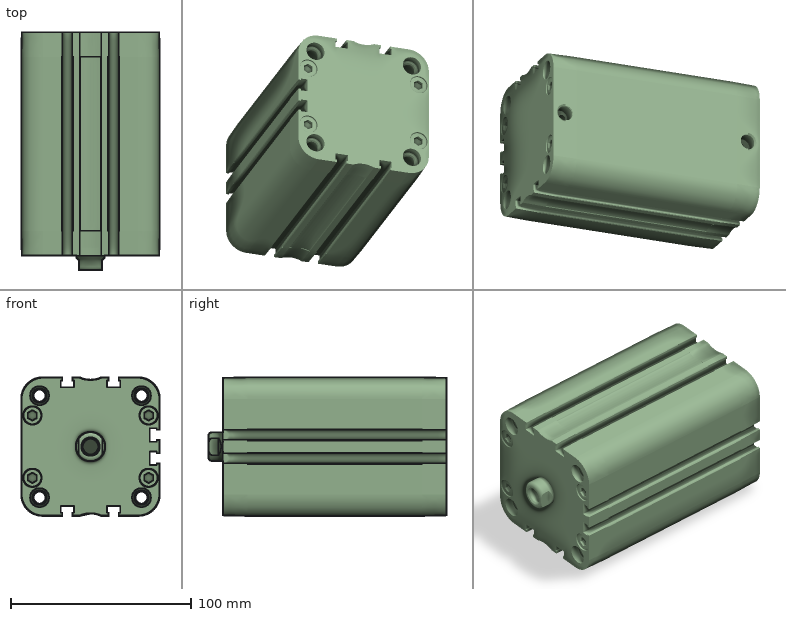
import cadquery as cq
import math


total_length = 132.0
rod_protrusion = 8.0
housing_length = total_length - rod_protrusion
cap_length = 13.7
barrel_length = housing_length - 2 * cap_length
barrel_width = 77.0
barrel_half_width = barrel_width / 2
cap_draft = 0.33
corner_center = 26.4
edge_break = 0.4

groove_half_chord = 6.1
groove_depth = 1.3

slot_mouth_width = 5.5
slot_inner_width = 7.3
slot_lip = 1.8
slot_depth = 5.5
top_slot_offset = 12.8
side_slot_offset = 6.5

mount_offset = 28.2
mount_bore_diameter = 10.5
mount_bore_depth = 5.0
mount_countersink_diameter = 8.0
mount_hole_diameter = 6.6

screw_x = 32.2
screw_z = 17.3
screw_recess_diameter = 10.3
screw_head_diameter = 9.8
screw_head_inset = 0.7
screw_gap_depth = 1.3
hex_across_flats = 5.0
hex_depth = 2.6

port_inset = 7.3
port_mouth_diameter = 10.5
port_diameter = 8.6
port_depth = 8.0
passage_diameter = 4.0
passage_shift = 1.0
passage_depth = 4.0

rod_diameter = 16.0
rod_bore_diameter = 16.5
rod_gap_depth = 1.3
rod_tip_radius = 2.0
rod_across_flats = 13.0
flat_start = 2.5
thread_mouth_diameter = 10.3
thread_diameter = 8.6
thread_depth = 19.8


def xz_plane(y):
    """Sketch plane at Y = y with local axes X and Z; its normal is -Y, so negative extrusions run +Y."""
    return cq.Workplane(cq.Plane(origin=(0, y, 0), xDir=(1, 0, 0), normal=(0, -1, 0)))


def housing_outline(plane, half_width, edge_chamfer):
    """Rounded square with a shallow arc groove in its top and bottom sides."""
    h = half_width
    c = corner_center
    arc_mid = c + (h - c) * math.sqrt(0.5)
    chord = groove_half_chord
    inner_chord = chord - edge_chamfer
    rim = h - edge_chamfer
    dip = h - groove_depth

    def groove_side(sketch, side):
        sketch = sketch.lineTo(-side * chord, side * h)
        if edge_chamfer > 0:
            sketch = sketch.lineTo(-side * inner_chord, side * rim)
        sketch = sketch.threePointArc((0, side * dip), (side * inner_chord, side * rim))
        if edge_chamfer > 0:
            sketch = sketch.lineTo(side * chord, side * h)
        return sketch.lineTo(side * c, side * h)

    sketch = groove_side(plane.moveTo(-c, h), 1)
    sketch = sketch.threePointArc((arc_mid, arc_mid), (h, c)).lineTo(h, -c)
    sketch = sketch.threePointArc((arc_mid, -arc_mid), (c, -h))
    sketch = groove_side(sketch, -1)
    sketch = sketch.threePointArc((-arc_mid, -arc_mid), (-h, -c)).lineTo(-h, c)
    return sketch.threePointArc((-arc_mid, arc_mid), (-c, h)).close()


def y_cylinder(x, z, diameter, length, start=0.0):
    """Cylinder running toward +Y from Y = start."""
    base = cq.Vector(x, start, z)
    return cq.Workplane(cq.Solid.makeCylinder(diameter / 2, length, base, cq.Vector(0, 1, 0)))


def y_countersink(x, z, diameter, end_diameter, start):
    """45 degree cone running toward +Y from Y = start, narrowing to end_diameter."""
    base = cq.Vector(x, start, z)
    length = (diameter - end_diameter) / 2
    cone = cq.Solid.makeCone(diameter / 2, end_diameter / 2, length, base, cq.Vector(0, 1, 0))
    return cq.Workplane(cone)


def on_both_caps(tool):
    """The tool at the rod end together with its mirror image at the rear end."""
    return tool.union(tool.mirror("XZ", (0, housing_length / 2, 0)))


def housing_blank():
    """Barrel with a drafted cap on each end, without slots or holes."""
    barrel = housing_outline(xz_plane(cap_length), barrel_half_width, edge_break).extrude(-barrel_length)
    end_wire = housing_outline(xz_plane(0), barrel_half_width - cap_draft, 0).val()
    seam_wire = housing_outline(xz_plane(cap_length), barrel_half_width, 0).val()
    cap = cq.Workplane(cq.Solid.makeLoft([end_wire, seam_wire], True))
    return barrel.union(on_both_caps(cap))


def slot_cutter(offset):
    """T-slot in the top side at X = offset; its mouth is chamfered along the barrel only."""
    top = barrel_half_width
    mouth_center = top - slot_lip / 2
    inner_height = slot_depth - slot_lip
    inner_center = top - slot_lip - inner_height / 2
    mouth = xz_plane(0).center(offset, mouth_center).rect(slot_mouth_width, slot_lip)
    inner = xz_plane(0).center(offset, inner_center).rect(slot_inner_width, inner_height)
    half_mouth = slot_mouth_width / 2
    chamfer = xz_plane(cap_length).center(offset, top).polyline([
        (-half_mouth - edge_break, 0),
        (half_mouth + edge_break, 0),
        (half_mouth, -edge_break),
        (-half_mouth, -edge_break),
    ]).close().extrude(-barrel_length)
    return mouth.extrude(-housing_length).union(inner.extrude(-housing_length)).union(chamfer)


def turned(tool, angle):
    """The tool turned about the cylinder axis."""
    return tool.rotate((0, 0, 0), (0, 1, 0), angle)


def cut_slots(body):
    """Two T-slots in each of the top, bottom and +X sides."""
    for side in (-1, 1):
        top_slot = slot_cutter(side * top_slot_offset)
        side_slot = slot_cutter(side * side_slot_offset)
        body = body.cut(top_slot).cut(turned(top_slot, 180)).cut(turned(side_slot, 90))
    return body


def mount_hole_cutter(x, z):
    """Counterbored, countersunk mounting hole through the whole housing."""
    bore = y_cylinder(x, z, mount_bore_diameter, mount_bore_depth)
    sink = y_countersink(x, z, mount_countersink_diameter, mount_hole_diameter, mount_bore_depth)
    return on_both_caps(bore.union(sink)).union(y_cylinder(x, z, mount_hole_diameter, housing_length))


def screw_cutter(x, z):
    """Recess around a sunk screw head and its hexagon socket, two corners pointing along Z."""
    recess = y_cylinder(x, z, screw_recess_diameter, screw_gap_depth)
    head = y_cylinder(x, z, screw_head_diameter, screw_gap_depth, screw_head_inset)
    hex_across_corners = hex_across_flats / math.cos(math.pi / 6)
    socket = xz_plane(screw_head_inset).polygon(6, hex_across_corners).extrude(-hex_depth)
    socket = turned(socket, 90).translate((x, 0, z))
    return on_both_caps(recess.cut(head).union(socket))


def port_cutter():
    """Blind air port in the -X side with a chamfered mouth and an offset inner passage."""
    face_x = -(barrel_half_width - cap_draft * (1 - port_inset / cap_length))
    inward = cq.Vector(1, 0, 0)
    mouth_depth = (port_mouth_diameter - port_diameter) / 2
    outside = face_x - cap_draft
    mouth = cq.Solid.makeCone(
        port_mouth_diameter / 2, port_diameter / 2, mouth_depth, cq.Vector(face_x, port_inset, 0), inward)
    bore = cq.Solid.makeCylinder(
        port_diameter / 2, port_depth + cap_draft, cq.Vector(outside, port_inset, 0), inward)
    passage_y = port_inset + passage_shift
    passage = cq.Solid.makeCylinder(
        passage_diameter / 2, passage_depth, cq.Vector(face_x + port_depth, passage_y, 0), inward)
    return on_both_caps(cq.Workplane(mouth).union(cq.Workplane(bore)).union(cq.Workplane(passage)))


def rod_flat_cutter():
    """Material outside one wrench flat on the +X side, ending in a 45 degree slope."""
    radius = rod_diameter / 2
    half_flats = rod_across_flats / 2
    return (
        cq.Workplane("XY")
        .moveTo(half_flats, -rod_protrusion)
        .lineTo(half_flats, -flat_start)
        .lineTo(radius, -flat_start + radius - half_flats)
        .lineTo(radius, -rod_protrusion)
        .close()
        .extrude(radius, both=True)
    )


def rod_end():
    """Protruding rod tip with rounded rim and two wrench flats."""
    rod = y_cylinder(0, 0, rod_diameter, rod_protrusion + rod_gap_depth, -rod_protrusion)
    rod = rod.faces("<Y").edges().fillet(rod_tip_radius)
    flat = rod_flat_cutter()
    return rod.cut(flat).cut(turned(flat, 180))


def rod_thread_cutter():
    """Blind threaded hole in the rod tip with a countersunk mouth."""
    tip = -rod_protrusion
    hole = y_cylinder(0, 0, thread_diameter, thread_depth, tip)
    return hole.union(y_countersink(0, 0, thread_mouth_diameter, thread_diameter, tip))


result = cut_slots(housing_blank())
for x_side in (-1, 1):
    for z_side in (-1, 1):
        result = result.cut(mount_hole_cutter(x_side * mount_offset, z_side * mount_offset))
        result = result.cut(screw_cutter(x_side * screw_x, z_side * screw_z))
result = result.cut(port_cutter())
result = result.cut(y_cylinder(0, 0, rod_bore_diameter, rod_gap_depth))
result = result.union(rod_end()).cut(rod_thread_cutter())